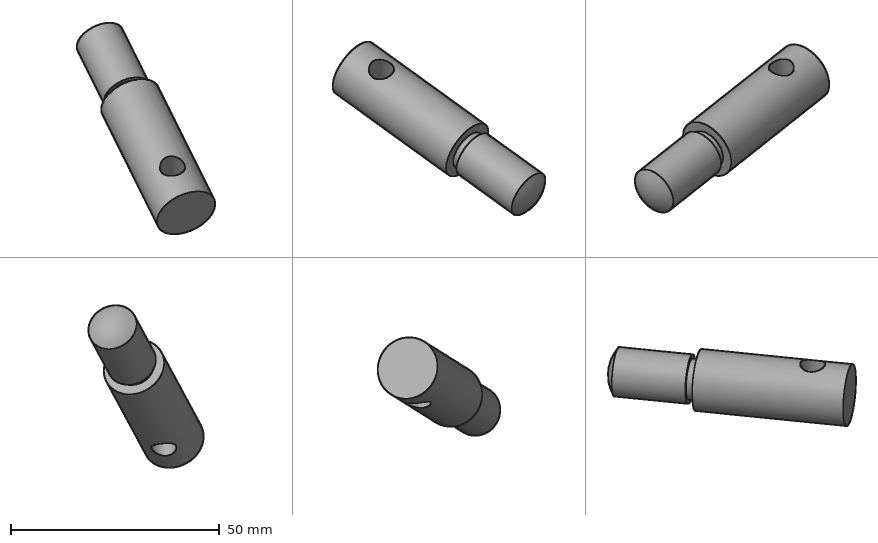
import cadquery as cq

total_length = 59.0
body_diameter = 15.0
pin_diameter = 12.0
groove_diameter = 10.0
dome_height = 2.0
groove_width = 2.0
body_length = 37.0
hole_diameter = 6.0
hole_to_end = 9.0

body_start = total_length - body_length
groove_start = body_start - groove_width
hole_x = total_length - hole_to_end

pin_radius = pin_diameter / 2
dome_radius = (pin_radius**2 + dome_height**2) / (2 * dome_height)


def turned_profile():
    """Half section of the domed pin, relief groove and body, above the axis."""
    body_radius = body_diameter / 2
    groove_radius = groove_diameter / 2
    arc_y = pin_radius / 2
    arc_x = dome_radius - (dome_radius**2 - arc_y**2) ** 0.5
    return (
        cq.Workplane("XY")
        .moveTo(0, 0)
        .threePointArc((arc_x, arc_y), (dome_height, pin_radius))
        .lineTo(groove_start, pin_radius)
        .lineTo(groove_start, groove_radius)
        .lineTo(body_start, groove_radius)
        .lineTo(body_start, body_radius)
        .lineTo(total_length, body_radius)
        .lineTo(total_length, 0)
        .close()
    )


def cross_hole():
    """Cylinder along Z that passes right through the body."""
    return (
        cq.Workplane("XY")
        .center(hole_x, 0)
        .circle(hole_diameter / 2)
        .extrude(body_diameter, both=True)
    )


shaft = turned_profile().revolve(360, (0, 0, 0), (1, 0, 0))
result = shaft.cut(cross_hole())